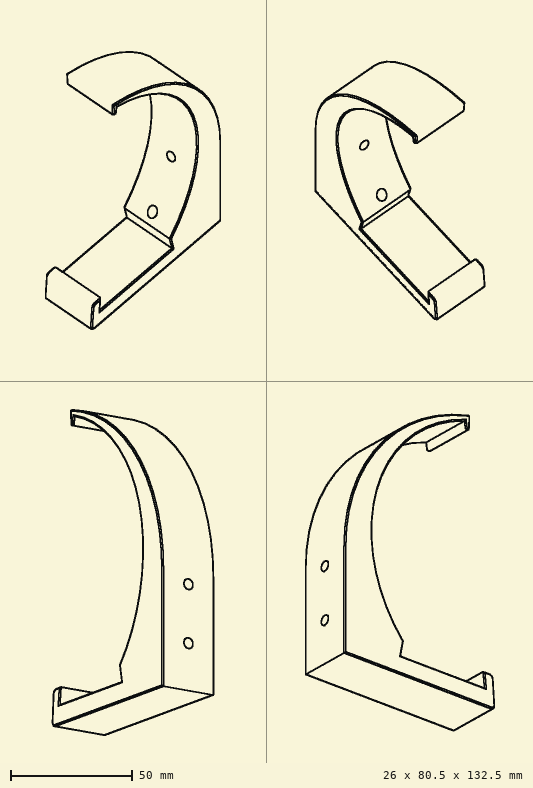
import cadquery as cq
import math

width = 26.0
height = 132.5
depth = 80.5
edge_chamfer = 0.5

outer_radius = 85.0
tip_reach = 67.2
tip_rise = 0.21
tip_round = 0.8
outer_center_reach = outer_radius
outer_center_z = height + tip_rise - math.sqrt(outer_radius**2 - (outer_center_reach - tip_reach) ** 2)

inner_radius = 70.8
inner_center_reach = 85.5
inner_center_z = 61.8

hook_bottom_z = 125.8
hook_inner_top = 64.4
hook_inner_bottom = 65.0
hook_outer_bottom = 66.8
hook_round = 0.8

shelf_height = 8.5
lip_height = 15.9
step_bottom = 30.1
lip_inner_bottom = 75.2
lip_inner_top = 74.4
lip_outer_top = 79.5
lip_outer_bottom = 80.6
lip_top_round = 2.0
lip_bottom_round = 2.0

hole_diameter = 4.5
hole_heights = (20.3, 45.5)


def arc_height(reach, center_reach, center_z, radius):
    """Height of the upper half of a circle at a given reach from the back."""
    return center_z + math.sqrt(radius**2 - (reach - center_reach) ** 2)


def arc_reach(z, center_reach, center_z, radius):
    """Reach of the back half of a circle at a given height."""
    return center_reach - math.sqrt(radius**2 - (z - center_z) ** 2)


def point(reach, z):
    """Profile point from its reach in front of the back and its height."""
    return (-reach, z)


def make_body():
    tip_z = height + tip_rise
    outer_mid_reach = outer_center_reach - outer_radius * math.sqrt(0.5)
    outer_mid_z = outer_center_z + outer_radius * math.sqrt(0.5)
    hook_root_z = arc_height(hook_inner_top, inner_center_reach, inner_center_z, inner_radius)
    step_top = arc_reach(lip_height, inner_center_reach, inner_center_z, inner_radius)
    profile = (
        cq.Workplane("YZ", origin=(-width / 2, 0, 0))
        .moveTo(0, 0)
        .lineTo(*point(0, outer_center_z))
        .threePointArc(point(outer_mid_reach, outer_mid_z), point(tip_reach, tip_z))
        .lineTo(*point(hook_outer_bottom, hook_bottom_z))
        .lineTo(*point(hook_inner_bottom, hook_bottom_z))
        .lineTo(*point(hook_inner_top, hook_root_z))
        .threePointArc(
            point(inner_center_reach - inner_radius, inner_center_z),
            point(step_top, lip_height),
        )
        .lineTo(*point(step_bottom, shelf_height))
        .lineTo(*point(lip_inner_bottom, shelf_height))
        .lineTo(*point(lip_inner_top, lip_height))
        .lineTo(*point(lip_outer_top, lip_height))
        .lineTo(*point(lip_outer_bottom, 0))
        .close()
    )
    return profile.extrude(width)


def round_corner(body, reach, z, radius):
    """Round the widthwise edge that passes through a profile corner."""
    edge = cq.selectors.NearestToPointSelector((0, *point(reach, z)))
    return body.edges("|X").edges(edge).fillet(radius)


def cut_screw_holes(body):
    holes = (
        cq.Workplane("XZ")
        .pushPoints([(0, z) for z in hole_heights])
        .circle(hole_diameter / 2)
        .extrude(depth)
    )
    return body.cut(holes)


body = make_body()
for reach, z, radius in (
    (tip_reach, height, tip_round),
    (hook_outer_bottom, hook_bottom_z, hook_round),
    (hook_inner_bottom, hook_bottom_z, hook_round),
    (lip_outer_top, lip_height, lip_top_round),
    (lip_outer_bottom, 0, lip_bottom_round),
):
    body = round_corner(body, reach, z, radius)
body = body.faces("<X or >X").edges().chamfer(edge_chamfer)
result = cut_screw_holes(body)